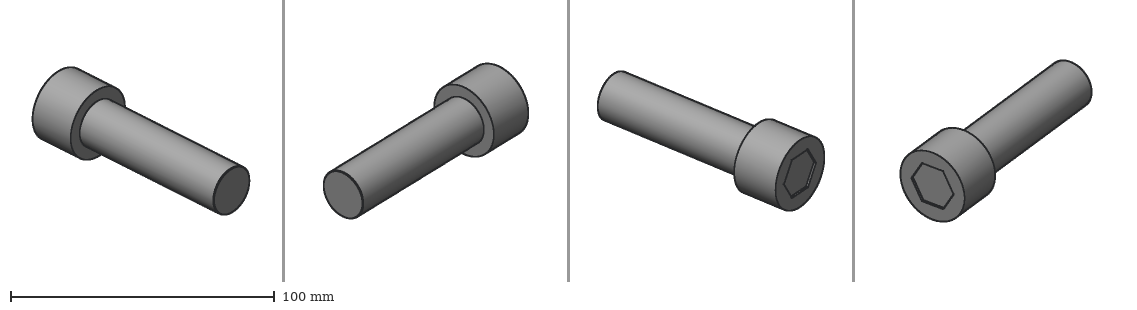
import cadquery as cq

total_length = 90.0
shank_diameter = 20.0
head_diameter = 30.0
head_height = shank_diameter
shank_length = total_length - head_height
tip_chamfer = 0.3

socket_across_flats = 17.0
socket_depth = 1.0


def cylinder_along_x(start_x, diameter, length):
    return cq.Workplane("YZ", origin=(start_x, 0, 0)).circle(diameter / 2).extrude(length)


def hex_socket():
    """Hexagonal recess with corners pointing along Y and flats facing Z."""
    return (
        cq.Workplane("XY").transformed(rotate=(0, 90, 0))
        .polygon(6, socket_across_flats, circumscribed=True)
        .extrude(socket_depth)
    )


head = cylinder_along_x(0, head_diameter, head_height)
shank = cylinder_along_x(head_height, shank_diameter, shank_length).faces(">X").chamfer(tip_chamfer)

result = head.union(shank).cut(hex_socket())